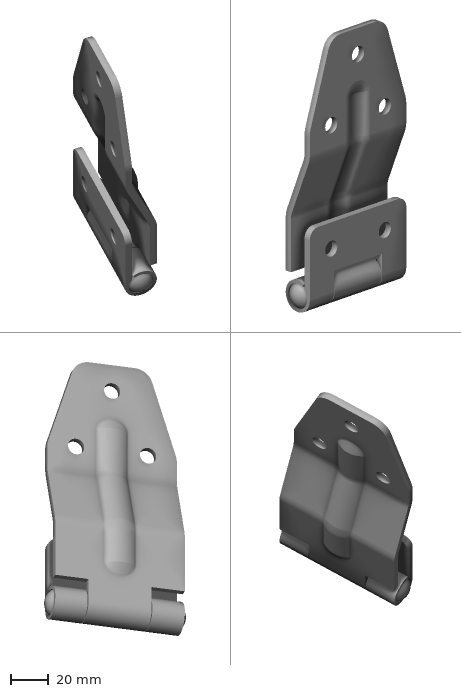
import cadquery as cq
import math


SHEET = 4.0
WIDTH = 72.0
BARREL_R = 9.1
PIN_R = 7.1
AXIS_TO_INNER_FACE = BARREL_R - SHEET
CURL_END_ANGLE = 60.0

PIN_LENGTH = 78.0
DOME_HEIGHT = 3.8

NOTCH_WIDTH = 36.0
TONGUE_WIDTH = 35.0
SHOULDER_Z = BARREL_R + 3.0

HOLE_D = 9.0
HOLE_X = 20.0

FRONT_TOP = 40.0
FRONT_CORNER_R = 6.0
FRONT_HOLE_Z = 25.0

BACK_TOP = 145.0
BACK_TOP_WIDTH = 40.0
TAPER_START_Z = 95.0
TOP_CORNER_R = 10.0
SIDE_CORNER_R = 15.0
SIDE_HOLE_Z = 95.0
TOP_HOLE_Z = 130.0

UPPER_BEND_Z = 79.3
LOWER_BEND_Z = 44.3
BEND_INNER_R = 10.0
BEND_OUTER_R = BEND_INNER_R + SHEET
UPPER_FACE_Y = -BARREL_R
LOWER_FACE_Y = AXIS_TO_INNER_FACE
JOGGLE_ANGLE = math.atan2(LOWER_FACE_Y - UPPER_FACE_Y, UPPER_BEND_Z - LOWER_BEND_Z)

BEAD_HALF_WIDTH = 9.08
BEAD_HEIGHT = 3.0
BEAD_TOP_Z = 106.9
BEAD_BOTTOM_Z = 23.2
BEAD_END_SLOPE = math.radians(23)
BEAD_BACK_ROUND_R = 1.5
BEAD_FRONT_ROUND_R = BEAD_BACK_ROUND_R + SHEET
BEAD_FLANK_ANGLE = 2 * math.atan2(BEAD_HEIGHT, BEAD_HALF_WIDTH)
BEAD_OUTER_R = BEAD_HALF_WIDTH / math.sin(BEAD_FLANK_ANGLE) - BEAD_BACK_ROUND_R
BEAD_INNER_R = BEAD_OUTER_R - SHEET
BEAD_OVERLAP = 0.4

CUT = 50.0
TOLERANCE = 0.001


def x_bar(width, profile):
    """Extrude a YZ profile along X, centred on X = 0."""
    return profile.extrude(width / 2, both=True)


def curled_knuckle(width):
    """Barrel that curls from a leaf on the -Y side, open between its free end and the leaf."""
    ring = x_bar(width, cq.Workplane("YZ").circle(BARREL_R).circle(PIN_R))
    end = math.radians(CURL_END_ANGLE)
    reach = 2 * BARREL_R
    gap = cq.Workplane("YZ").polyline([
        (0, 0),
        (-reach * math.cos(end), reach * math.sin(end)),
        (-reach, reach),
        (-reach, 0),
    ]).close()
    return ring.cut(x_bar(width, gap))


def drill(body, places):
    """Drill screw holes along Y at the given (x, z) places."""
    holes = cq.Workplane("XZ").pushPoints(places).circle(HOLE_D / 2).extrude(CUT, both=True)
    return body.cut(holes)


def bore(body):
    """Clear the pin's bore."""
    return body.cut(x_bar(PIN_LENGTH, cq.Workplane("YZ").circle(PIN_R)))


def make_front_leaf():
    plate = (
        cq.Workplane("XY")
        .box(WIDTH, SHEET, FRONT_TOP, centered=(True, False, False))
        .translate((0, -BARREL_R, 0))
        .edges("|Y and >Z")
        .fillet(FRONT_CORNER_R)
    )
    leaf = bore(plate).union(curled_knuckle(WIDTH))
    notch = cq.Workplane("XY").box(NOTCH_WIDTH, CUT, CUT).translate((0, 0, SHOULDER_Z - CUT / 2))
    return drill(leaf.cut(notch), [(-HOLE_X, FRONT_HOLE_Z), (HOLE_X, FRONT_HOLE_Z)])


def joggle_path(top_z, bottom_z):
    """Front-face line of the back leaf, from top to bottom, with both bends."""
    half = JOGGLE_ANGLE / 2
    upper_tangent = BEND_OUTER_R * math.tan(half)
    lower_tangent = BEND_INNER_R * math.tan(half)
    slope_y = math.sin(JOGGLE_ANGLE)
    slope_z = -math.cos(JOGGLE_ANGLE)
    upper_end = (UPPER_FACE_Y + upper_tangent * slope_y, UPPER_BEND_Z + upper_tangent * slope_z)
    lower_start = (LOWER_FACE_Y - lower_tangent * slope_y, LOWER_BEND_Z - lower_tangent * slope_z)
    return (
        cq.Workplane("YZ")
        .moveTo(UPPER_FACE_Y, top_z)
        .lineTo(UPPER_FACE_Y, UPPER_BEND_Z + upper_tangent)
        .tangentArcPoint(upper_end, relative=False)
        .lineTo(*lower_start)
        .tangentArcPoint((LOWER_FACE_Y, LOWER_BEND_Z - lower_tangent), relative=False)
        .lineTo(LOWER_FACE_Y, bottom_z)
    )


def bead_section(radius, face_y, z):
    """Horizontal arc segment that rises BEAD_HEIGHT behind face_y, with a little overlap before it."""
    base_y = face_y - BEAD_OVERLAP
    rise = BEAD_HEIGHT + BEAD_OVERLAP
    half_chord = math.sqrt(2 * radius * rise - rise**2)
    return (
        cq.Workplane("XY", origin=(0, 0, z))
        .moveTo(-half_chord, base_y)
        .threePointArc((0, base_y + rise), (half_chord, base_y))
        .close()
    )


def bead_end(radius, face_y, z, z_sign):
    """Rounded run-out beyond z: straight lines from the bead arc down to an arc in its base plane."""
    base_y = face_y - BEAD_OVERLAP
    rise = BEAD_HEIGHT + BEAD_OVERLAP
    half_chord = math.sqrt(2 * radius * rise - rise**2)
    left = cq.Vector(-half_chord, base_y, z)
    right = cq.Vector(half_chord, base_y, z)
    crest = cq.Vector(0, base_y + rise, z)
    tip = cq.Vector(0, base_y, z + z_sign * rise / math.tan(BEAD_END_SLOPE))
    bead_arc = cq.Edge.makeThreePointArc(left, crest, right)
    foot_arc = cq.Edge.makeThreePointArc(left, tip, right)
    chord = cq.Edge.makeLine(right, left)
    faces = [
        cq.Face.makeRuledSurface(bead_arc, foot_arc),
        cq.Face.makeFromWires(cq.Wire.assembleEdges([bead_arc, chord])),
        cq.Face.makeFromWires(cq.Wire.assembleEdges([foot_arc, chord])),
    ]
    return cq.Workplane(cq.Solid.makeSolid(cq.Shell.makeShell(faces)))


def bead_body(radius, depth):
    """Whole bead on the surface that lies depth behind the front face."""
    body = bead_section(radius, UPPER_FACE_Y + depth, BEAD_TOP_Z).sweep(
        joggle_path(BEAD_TOP_Z, BEAD_BOTTOM_Z)
    )
    body = body.union(bead_end(radius, UPPER_FACE_Y + depth, BEAD_TOP_Z, 1))
    return body.union(bead_end(radius, LOWER_FACE_Y + depth, BEAD_BOTTOM_Z, -1))


def round_bead_rim(leaf, radius, round_r):
    """Round the closed rim where a bead surface meets the sheet face."""
    rim_x = math.sqrt(2 * radius * BEAD_HEIGHT - BEAD_HEIGHT**2)

    def on_rim(edge):
        starts_at_rim = abs(abs(edge.startPoint().x) - rim_x) < TOLERANCE
        ends_at_rim = abs(abs(edge.endPoint().x) - rim_x) < TOLERANCE
        crosses_bead = edge.geomType() == "CIRCLE" and edge.BoundingBox().xlen > rim_x
        return starts_at_rim and ends_at_rim and not crosses_bead

    return leaf.newObject(leaf.edges().filter(on_rim).vals()).fillet(round_r)


def back_leaf_outline():
    outline = (
        cq.Workplane("XZ", origin=(0, CUT, 0))
        .polyline([
            (-TONGUE_WIDTH / 2, 0),
            (-TONGUE_WIDTH / 2, SHOULDER_Z),
            (-WIDTH / 2, SHOULDER_Z),
            (-WIDTH / 2, TAPER_START_Z),
            (-BACK_TOP_WIDTH / 2, BACK_TOP),
            (BACK_TOP_WIDTH / 2, BACK_TOP),
            (WIDTH / 2, TAPER_START_Z),
            (WIDTH / 2, SHOULDER_Z),
            (TONGUE_WIDTH / 2, SHOULDER_Z),
            (TONGUE_WIDTH / 2, 0),
        ])
        .close()
        .extrude(2 * CUT)
    )
    outline = outline.edges("|Y and >Z").fillet(TOP_CORNER_R)
    near_taper = cq.selectors.BoxSelector(
        (-WIDTH, -2 * CUT, TAPER_START_Z - 1), (WIDTH, 2 * CUT, TAPER_START_Z + 1)
    )
    return outline.edges("|Y").edges(near_taper).fillet(SIDE_CORNER_R)


def make_back_leaf():
    sheet = (
        cq.Workplane("XY", origin=(0, UPPER_FACE_Y + SHEET / 2, BACK_TOP))
        .rect(WIDTH, SHEET)
        .sweep(joggle_path(BACK_TOP, 0))
    )
    leaf = sheet.union(bead_body(BEAD_OUTER_R, SHEET))
    leaf = leaf.cut(bead_body(BEAD_INNER_R, 0))
    leaf = round_bead_rim(leaf, BEAD_OUTER_R, BEAD_BACK_ROUND_R)
    leaf = round_bead_rim(leaf, BEAD_INNER_R, BEAD_FRONT_ROUND_R)
    leaf = bore(leaf.intersect(back_leaf_outline()))
    leaf = leaf.union(curled_knuckle(TONGUE_WIDTH).rotate((0, 0, 0), (0, 0, 1), 180))
    return drill(leaf, [(-HOLE_X, SIDE_HOLE_Z), (HOLE_X, SIDE_HOLE_Z), (0, TOP_HOLE_Z)])


def make_pin():
    half = PIN_LENGTH / 2
    shoulder = half - DOME_HEIGHT
    dome_r = (PIN_R**2 + DOME_HEIGHT**2) / (2 * DOME_HEIGHT)
    mid_x = half - dome_r * (1 - math.cos(math.asin(PIN_R / dome_r) / 2))
    mid_r = dome_r * math.sin(math.asin(PIN_R / dome_r) / 2)
    return (
        cq.Workplane("XY")
        .moveTo(-half, 0)
        .threePointArc((-mid_x, mid_r), (-shoulder, PIN_R))
        .lineTo(shoulder, PIN_R)
        .threePointArc((mid_x, mid_r), (half, 0))
        .close()
        .revolve(360, (0, 0, 0), (1, 0, 0))
    )


front_leaf = make_front_leaf()
back_leaf = make_back_leaf()
pin = make_pin()

result = cq.Compound.makeCompound([front_leaf.val(), back_leaf.val(), pin.val()])